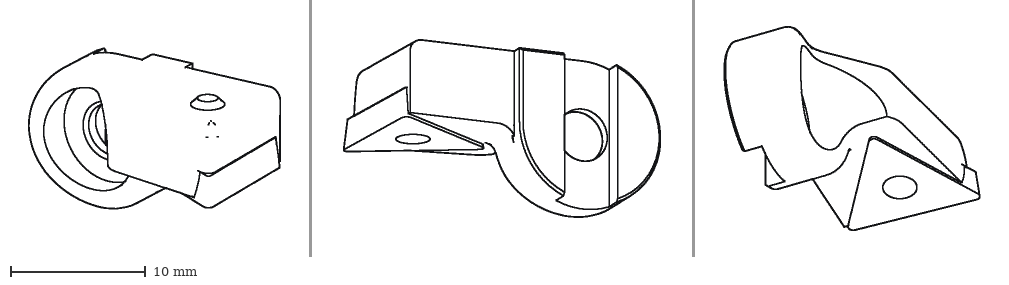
import cadquery as cq
import math

eye_radius = 5.715
bore_radius = 2.0
bore_chamfer = 0.3
counterbore_radius = 4.0
counterbore_floor_y = -2.8

slot_width = 4.3
slot_depth = 1.58
back_chamfer = 0.2

arm_top = eye_radius
arm_back_y = -1.15

crown_radius = 19.2
eye_front_y = -5.29
eye_front_radius = 33.0
flank_start_x = 0.27
flank_angle = 45.0
flank_end_x = 4.62
nose_angle = 10.0
end_back_x = 14.13
end_angle = 2.5
bend_radius = 2.0

edge_fillet = 0.95
nose_fillet = 0.6
underside_fillet = 1.5

insert_center = (11.58, -6.83)
insert_inradius = 3.175
insert_thickness = 2.38
insert_bottom = -0.25
insert_corner_radius = 0.4
insert_relief = 7.0
insert_turn = 2.8
turn_to_right_edge = -30.0

pin_center = (11.44, -6.83)
pin_radius = 1.27
pin_tip_height = 0.49
pin_tip_radius = 0.77

reach = 20.0


def block(x0, x1, y0, y1, z0, z1):
    """Box between two opposite corners."""
    return cq.Workplane("XY", origin=(x0, y0, z0)).box(x1 - x0, y1 - y0, z1 - z0, centered=False)


def cylinder_y(radius, y0, y1):
    """Cylinder around the eye axis from y0 up to y1."""
    return cq.Workplane("XZ", origin=(0, y1, 0)).circle(radius).extrude(y1 - y0)


def nearest_edge(x, y, z):
    return cq.NearestToPointSelector((x, y, z))


def line_y(x, start, angle):
    """Y at x on a line that falls toward +X at an angle."""
    return start[1] - math.tan(math.radians(angle)) * (x - start[0])


def eye_front(x):
    """Y on the shallow concave arc across the front of the eye."""
    return eye_front_y - eye_front_radius + math.sqrt(eye_front_radius**2 - x**2)


def crown_offset(z):
    """Distance that the front recedes at height z."""
    return crown_radius - math.sqrt(crown_radius**2 - z**2)


def crowned_prism(outline, height):
    """Carry an outline up from z = 0 along the crown arc without turning it."""
    middle = height / 2
    path = cq.Workplane("YZ").threePointArc((crown_offset(middle), middle), (crown_offset(height), height))
    return outline.sweep(path, normal=(0, 0, 1))


flank_start = (flank_start_x, eye_front(flank_start_x))
flank_end = (flank_end_x, line_y(flank_end_x, flank_start, flank_angle))
end_slope = math.tan(math.radians(end_angle))
nose_slope = math.tan(math.radians(nose_angle))
flank_end_to_back = arm_back_y - line_y(0, flank_end, nose_angle)
nose_x = (end_back_x + end_slope * flank_end_to_back) / (1 - end_slope * nose_slope)
nose = (nose_x, line_y(nose_x, flank_end, nose_angle))


def make_arm_prism():
    left = -eye_radius - 1
    end_far_x = end_back_x - end_slope * (reach - arm_back_y)
    outline = (
        cq.Workplane("XY")
        .moveTo(left, reach)
        .lineTo(left, eye_front(left))
        .threePointArc((left / 2, eye_front(left / 2)), flank_start)
        .lineTo(*flank_end)
        .lineTo(*nose)
        .lineTo(end_far_x, reach)
        .close()
    )
    prism = crowned_prism(outline, arm_top)
    for x, y in (flank_start, flank_end):
        prism = prism.edges(nearest_edge(x, y, arm_top / 2)).fillet(bend_radius)
    return prism


def make_eye_prism():
    side = eye_radius + 1
    outline = (
        cq.Workplane("XY")
        .moveTo(-side, reach)
        .lineTo(-side, eye_front(side))
        .threePointArc((0, eye_front_y), (side, eye_front(side)))
        .lineTo(side, reach)
        .close()
    )
    upper_half = crowned_prism(outline, side)
    return upper_half.union(upper_half.mirror("XY"))


def make_arm():
    """Arm together with the upper half of the eye."""
    arm = cylinder_y(eye_radius, -reach, 0).union(block(0, reach, -reach, 0, 0, arm_top))
    arm = arm.intersect(make_arm_prism())
    rim_middle = eye_radius / math.sqrt(2)
    rim = arm.edges(nearest_edge(-rim_middle, eye_front_y, rim_middle))
    end_edge = arm.edges(nearest_edge((end_back_x + nose_x) / 2, nose[1] / 2, arm_top))
    arm = rim.add(end_edge).fillet(edge_fillet)
    return arm.edges(nearest_edge(*nose, arm_top / 2)).fillet(nose_fillet)


def make_lower_eye():
    """Lower half of the eye, blended into the plane of the arm's underside."""
    eye = cylinder_y(eye_radius, -reach, 0).intersect(make_eye_prism())
    eye = eye.faces("<Y").edges().fillet(edge_fillet)
    lower_half = eye.cut(block(-reach, reach, -reach, reach, 0, reach))
    underside = block(0, reach, -reach, 0, 0, arm_top / 4)
    foot = lower_half.union(underside)
    foot = foot.edges(nearest_edge(eye_radius, eye_front_y / 2, 0)).fillet(underside_fillet)
    return foot.cut(underside)


def make_key():
    """Chamfered disc with a square upper right corner, split by the slot."""
    key = cylinder_y(eye_radius, -slot_depth, 0).union(block(0, eye_radius, -slot_depth, 0, 0, arm_top))
    key = key.faces(">Y").edges().chamfer(back_chamfer)
    return key.cut(block(-slot_width / 2, slot_width / 2, -slot_depth, 0, -reach, reach))


def make_bore():
    """Cutter for the counterbore, the bore and the chamfer between them."""
    counterbore = cylinder_y(counterbore_radius, -reach, counterbore_floor_y)
    bore = cylinder_y(bore_radius, counterbore_floor_y, 0)
    mouth = cq.Solid.makeCone(
        bore_radius + bore_chamfer,
        bore_radius,
        bore_chamfer,
        pnt=cq.Vector(0, counterbore_floor_y, 0),
        dir=cq.Vector(0, 1, 0),
    )
    return counterbore.union(bore).union(cq.Workplane(mouth))


def make_clamp():
    body = make_arm().union(make_lower_eye())
    body = body.cut(block(-reach, eye_radius, -slot_depth, 0, -reach, reach))
    body = body.cut(block(eye_radius, reach, arm_back_y, 0, -reach, reach))
    return body.union(make_key()).cut(make_bore())


def make_insert():
    plan = cq.Sketch().regularPolygon(2 * insert_inradius, 3).vertices().fillet(insert_corner_radius)
    insert = cq.Workplane("XY").placeSketch(plan).extrude(insert_thickness, taper=insert_relief)
    insert = insert.rotate((0, 0, 0), (0, 0, 1), turn_to_right_edge + insert_turn)
    return insert.translate((*insert_center, insert_bottom))


def make_pin():
    shank = cq.Workplane("XY", origin=(*pin_center, insert_bottom)).circle(pin_radius)
    shank = shank.extrude(arm_top - insert_bottom)
    tip = (
        cq.Workplane("XY", origin=(*pin_center, arm_top))
        .circle(pin_radius)
        .workplane(offset=pin_tip_height)
        .circle(pin_tip_radius)
        .loft()
    )
    return shank.union(tip)


pin = make_pin()
insert_blank = make_insert()
insert = insert_blank.cut(pin)
clamp = make_clamp().cut(insert_blank).cut(pin)

result = cq.Compound.makeCompound([clamp.val(), insert.val(), pin.val()])